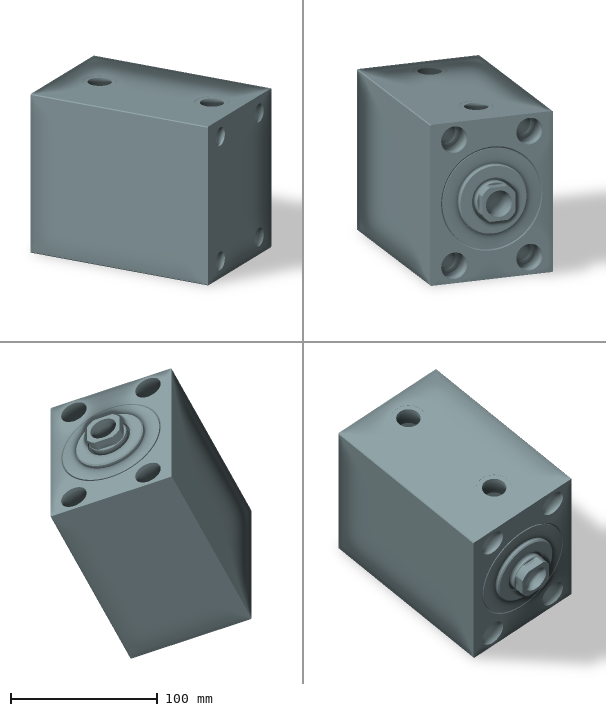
import cadquery as cq

overall_length = 151.5
rod_reach = 13.5
block_length = overall_length - rod_reach
block_width = 90.0
block_height = 115.0
block_chamfer = 0.6

bolt_spacing_y = 55.0
bolt_spacing_z = 90.0
bolt_hole_diameter = 13.2
bolt_head_diameter = 19.0
bolt_head_depth = 13.6

port_front_x = 29.1
port_spacing = 87.4
spotface_diameter = 24.1
spotface_depth = 0.2
port_diameter = 16.7
port_depth = 13.6
passage_diameter = 6.0

gland_diameter = 72.0
gland_depth = 20.0
gland_seat_chamfer = 1.0
boss_diameter = 50.0
boss_height = 3.3
boss_chamfer = 0.9
wiper_groove_diameter = 31.5
wiper_groove_depth = 1.5

rod_diameter = 28.0
rod_end_x = 125.0
shoulder_chamfer = 0.6
tip_diameter = 27.5
tip_length = 6.8
tip_across_flats = 24.2
tip_hole_diameter = 19.0
tip_hole_depth = 30.3
tip_hole_cone_depth = 5.8


def cylinder_x(diameter, start_x, end_x):
    """Cylinder on the rod axis between two X positions."""
    return cq.Workplane("YZ", origin=(start_x, 0, 0)).circle(diameter / 2).extrude(end_x - start_x)


def cylinders_down(centres, diameter, bottom_z):
    """Vertical cylinders from the top of the block down to a given height."""
    top_plane = cq.Workplane("XY", origin=(0, 0, block_height / 2))
    return top_plane.pushPoints(centres).circle(diameter / 2).extrude(bottom_z - block_height / 2)


def cut_bolt_holes(block):
    """Through holes with counterbores in the front face."""
    corners = cq.Workplane("YZ").rarray(bolt_spacing_y, bolt_spacing_z, 2, 2)
    shanks = corners.circle(bolt_hole_diameter / 2).extrude(block_length)
    heads = corners.circle(bolt_head_diameter / 2).extrude(bolt_head_depth)
    return block.cut(shanks).cut(heads)


def cut_ports(block):
    """Two stepped ports that run from the top face to the rod bore."""
    top_z = block_height / 2
    centres = [(port_front_x, 0), (port_front_x + port_spacing, 0)]
    spotfaces = cylinders_down(centres, spotface_diameter, top_z - spotface_depth)
    ports = cylinders_down(centres, port_diameter, top_z - port_depth)
    passages = cylinders_down(centres, passage_diameter, 0)
    return block.cut(spotfaces).cut(ports).cut(passages)


def make_block():
    block = cq.Workplane("XY").box(block_length, block_width, block_height, centered=(False, True, True))
    block = block.edges("|X").chamfer(block_chamfer)
    block = cut_ports(cut_bolt_holes(block))
    gland_seat = cylinder_x(gland_diameter, 0, gland_depth)
    seat_radius = gland_diameter / 2
    seat_chamfer = cq.Solid.makeCone(
        seat_radius + gland_seat_chamfer, seat_radius, gland_seat_chamfer, dir=cq.Vector(1, 0, 0)
    )
    rod_bore = cylinder_x(rod_diameter, 0, rod_end_x)
    return block.cut(gland_seat).cut(seat_chamfer).cut(rod_bore)


def make_gland():
    boss = cylinder_x(boss_diameter, -boss_height, 0).faces("<X").chamfer(boss_chamfer)
    gland = cylinder_x(gland_diameter, 0, gland_depth).union(boss)
    wiper_groove = cylinder_x(wiper_groove_diameter, -boss_height, wiper_groove_depth - boss_height)
    rod_bore = cylinder_x(rod_diameter, -boss_height, gland_depth)
    return gland.cut(wiper_groove).cut(rod_bore)


def make_rod():
    shoulder_x = tip_length - rod_reach
    shaft = cylinder_x(rod_diameter, shoulder_x, rod_end_x).faces("<X").chamfer(shoulder_chamfer)
    flats = cq.Workplane("YZ", origin=(-rod_reach, 0, 0)).rect(tip_across_flats, tip_across_flats)
    tip = cylinder_x(tip_diameter, -rod_reach, shoulder_x).intersect(flats.extrude(tip_length))
    hole_radius = tip_hole_diameter / 2
    tip_hole = (
        cq.Workplane("XY", origin=(-rod_reach, 0, 0))
        .lineTo(0, hole_radius)
        .lineTo(tip_hole_depth, hole_radius)
        .lineTo(tip_hole_depth + tip_hole_cone_depth, 0)
        .close()
        .revolve(360, (0, 0, 0), (1, 0, 0))
    )
    return shaft.union(tip).cut(tip_hole)


block = make_block()
gland = make_gland()
rod = make_rod()
result = cq.Compound.makeCompound([block.val(), gland.val(), rod.val()])